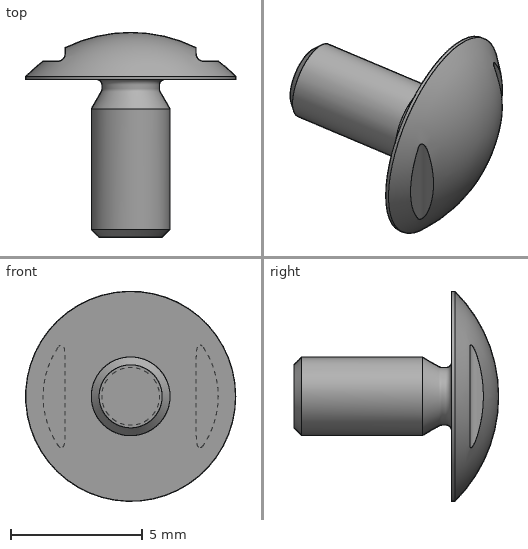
import cadquery as cq
import math

head_radius = 4.0
head_height = 1.8
rim_height = 0.13

flat_distance = 2.5
flat_floor = 0.7
flat_fillet = 0.28

shank_length = 6.0
shank_radius = 1.5
tip_chamfer = 0.3
neck_radius = 1.1
neck_length = 0.42
neck_fillet = 0.2
cone_half_angle = 30.0

cone_length = (shank_radius - neck_radius) / math.tan(math.radians(cone_half_angle))
cone_end = neck_length + cone_length

dome_rise = head_height - rim_height
dome_radius = (head_radius**2 + dome_rise**2) / (2 * dome_rise)
arc_mid_x = head_radius / 2
arc_mid_y = head_height - dome_radius + math.sqrt(dome_radius**2 - arc_mid_x**2)

blend_tangent = neck_fillet * math.tan(math.radians(cone_half_angle / 2))
blend_start = neck_length - blend_tangent
blend_end_x = neck_radius + blend_tangent * math.sin(math.radians(cone_half_angle))
blend_end_y = neck_length + blend_tangent * math.cos(math.radians(cone_half_angle))


def make_body():
    """Revolve the half profile about Y; the underside of the head is at Y = 0."""
    return (
        cq.Workplane("XY")
        .moveTo(0, head_height)
        .threePointArc((arc_mid_x, arc_mid_y), (head_radius, rim_height))
        .lineTo(head_radius, 0)
        .lineTo(neck_radius + neck_fillet, 0)
        .radiusArc((neck_radius, -neck_fillet), -neck_fillet)
        .lineTo(neck_radius, -blend_start)
        .radiusArc((blend_end_x, -blend_end_y), -neck_fillet)
        .lineTo(shank_radius, -cone_end)
        .lineTo(shank_radius, -shank_length + tip_chamfer)
        .lineTo(shank_radius - tip_chamfer, -shank_length)
        .lineTo(0, -shank_length)
        .close()
        .revolve(360, (0, 0, 0), (0, 1, 0))
    )


def make_flat_cutter(side):
    """Straight cutter along Z with a rounded inner corner; side is +1 or -1 in X."""
    width = head_radius - flat_distance
    height = head_height - flat_floor
    inner_edge = "<X" if side > 0 else ">X"
    return (
        cq.Workplane("XY")
        .box(width, height, 2 * head_radius)
        .edges("|Z and <Y")
        .edges(inner_edge)
        .fillet(flat_fillet)
        .translate((side * (flat_distance + width / 2), flat_floor + height / 2, 0))
    )


result = make_body()
for side in (-1, 1):
    result = result.cut(make_flat_cutter(side))